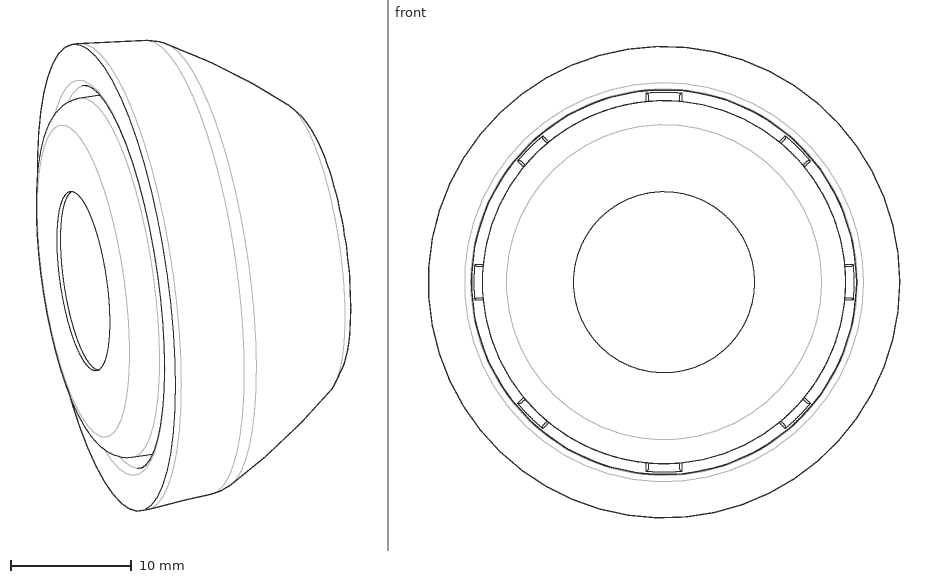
import cadquery as cq
import math

RIM_RADIUS = 19.5
TOTAL_DEPTH = 20.0

PAD_RADIUS = 15.0
PAD_EDGE_RADIUS = 2.0
DIMPLE_RADIUS = 7.5
DIMPLE_DEPTH = 0.3

RIM_Y = 2.0
RIM_BAND = 0.5
SHOULDER_RADIUS = 18.9
SHOULDER_Y = 8.7
SHOULDER_SEARCH = 0.4
BACK_RADIUS = 11.25
FLANK_BULGE = 0.43
HOUSING_FILLET = 3.12

MOUTH_RADIUS = 16.0
MOUTH_FILLET = 0.5
WALL_FOOT_RADIUS = 15.9
WALL_DEPTH = 4.85
CAVITY_DEPTH = 6.55

RIB_COUNT = 8
RIB_WIDTH = 2.57
RIB_SETBACK = 5.23
RIB_ROOT_FILLET = 0.25
RIB_ROOT_BASE = 0.06
RIB_SINK = 0.78

FLOOR_Y = RIM_Y + CAVITY_DEPTH
RIB_FRONT_Y = RIM_Y + RIB_SETBACK


def revolve_about_y(outline):
    """Revolve a closed half-outline, drawn as (radius, Y), about the Y axis."""
    return outline.close().revolve(360, (0, 0, 0), (0, 1, 0))


def make_shell():
    """Outer shape: short rim band, tapered skirt and bulged flank up to the flat back."""
    flank_dr = BACK_RADIUS - SHOULDER_RADIUS
    flank_dy = TOTAL_DEPTH - SHOULDER_Y
    flank_length = math.hypot(flank_dr, flank_dy)
    flank_middle = (
        (SHOULDER_RADIUS + BACK_RADIUS) / 2 + FLANK_BULGE * flank_dy / flank_length,
        (SHOULDER_Y + TOTAL_DEPTH) / 2 - FLANK_BULGE * flank_dr / flank_length,
    )
    outline = (
        cq.Workplane("XY")
        .moveTo(0, RIM_Y)
        .lineTo(RIM_RADIUS, RIM_Y)
        .lineTo(RIM_RADIUS, RIM_Y + RIM_BAND)
        .lineTo(SHOULDER_RADIUS, SHOULDER_Y)
        .threePointArc(flank_middle, (BACK_RADIUS, TOTAL_DEPTH))
        .lineTo(0, TOTAL_DEPTH)
    )
    shell = revolve_about_y(outline)
    back_edge = shell.faces(">Y").edges()
    shoulder_edge = shell.edges(cq.selectors.BoxSelector(
        (-RIM_RADIUS, SHOULDER_Y - SHOULDER_SEARCH, -RIM_RADIUS),
        (RIM_RADIUS, SHOULDER_Y + SHOULDER_SEARCH, RIM_RADIUS), boundingbox=True))
    return shell.newObject(back_edge.vals() + shoulder_edge.vals()).fillet(HOUSING_FILLET)


def make_cavity():
    """Cavity with a rounded mouth, a slightly drafted wall and a ramp down to the pad radius."""
    outline = (
        cq.Workplane("XY")
        .moveTo(0, RIM_Y)
        .lineTo(MOUTH_RADIUS + MOUTH_FILLET, RIM_Y)
        .radiusArc((MOUTH_RADIUS, RIM_Y + MOUTH_FILLET), MOUTH_FILLET)
        .lineTo(WALL_FOOT_RADIUS, RIM_Y + WALL_DEPTH)
        .lineTo(PAD_RADIUS, FLOOR_Y)
        .lineTo(0, FLOOR_Y)
    )
    return revolve_about_y(outline)


def make_rib():
    """One rib at +Z: a bar with filleted roots that runs down the ramp, with a flat front."""
    ramp_dy = CAVITY_DEPTH - WALL_DEPTH
    ramp_dr = PAD_RADIUS - WALL_FOOT_RADIUS
    ramp_length = math.hypot(ramp_dy, ramp_dr)
    down_ramp = cq.Vector(0, ramp_dy / ramp_length, ramp_dr / ramp_length)
    wall_foot = cq.Vector(0, RIM_Y + WALL_DEPTH, WALL_FOOT_RADIUS)

    half_width = RIB_WIDTH / 2
    root_half_width = half_width + RIB_ROOT_FILLET
    root_top = RIB_ROOT_BASE + RIB_ROOT_FILLET
    section_plane = cq.Plane(wall_foot - down_ramp * RIB_SINK, xDir=(1, 0, 0), normal=down_ramp)
    bar = (
        cq.Workplane(section_plane)
        .moveTo(-root_half_width, -RIB_SINK)
        .lineTo(root_half_width, -RIB_SINK)
        .lineTo(root_half_width, RIB_ROOT_BASE)
        .radiusArc((half_width, root_top), RIB_ROOT_FILLET)
        .lineTo(half_width, ramp_length)
        .lineTo(-half_width, ramp_length)
        .lineTo(-half_width, root_top)
        .radiusArc((-root_half_width, RIB_ROOT_BASE), RIB_ROOT_FILLET)
        .close()
        .extrude(ramp_length + 2 * RIB_SINK)
    )
    in_front_of_rib = cq.Workplane("XZ").circle(RIM_RADIUS).extrude(-RIB_FRONT_Y)
    pad_clearance = cq.Workplane("XZ").circle(PAD_RADIUS).extrude(-FLOOR_Y)
    return bar.cut(in_front_of_rib).cut(pad_clearance)


def make_housing():
    """Hollow shell with the ring of ribs standing on the cavity ramp."""
    housing = make_shell().cut(make_cavity())
    rib = make_rib()
    for i in range(RIB_COUNT):
        housing = housing.union(rib.rotate((0, 0, 0), (0, 1, 0), i * 360 / RIB_COUNT))
    return housing


def make_pad():
    """Round pad standing on the cavity floor, with a rounded front edge and a shallow dimple."""
    pad = (
        cq.Workplane("XZ")
        .circle(PAD_RADIUS)
        .extrude(-FLOOR_Y)
        .faces("<Y").edges().fillet(PAD_EDGE_RADIUS)
    )
    dimple = cq.Workplane("XZ").circle(DIMPLE_RADIUS).extrude(-DIMPLE_DEPTH)
    return pad.cut(dimple)


housing = make_housing()
pad = make_pad()
result = cq.Compound.makeCompound([housing.val(), pad.val()])